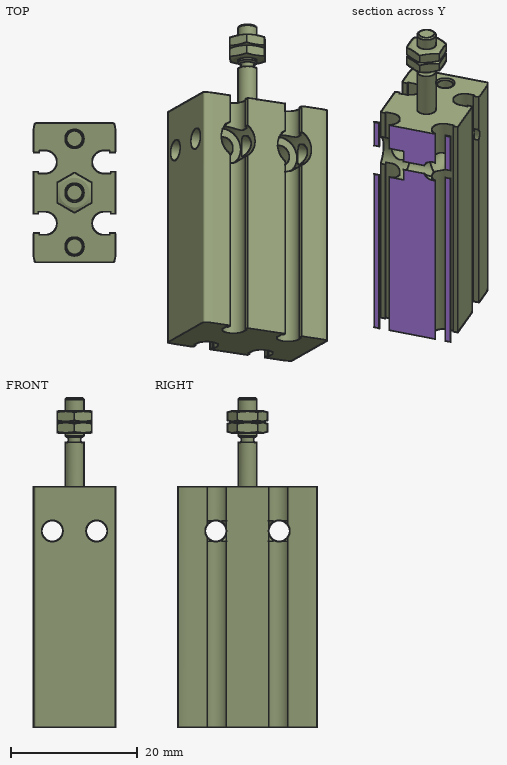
import cadquery as cq
import math

WIDTH_X = 13.0
LENGTH_Y = 22.0
HOUSING_HEIGHT = 38.0
HALF_X = WIDTH_X / 2
HALF_Y = LENGTH_Y / 2

CORNER_ARC_RADIUS = 4.0
CORNER_ARC_RISE = 1.4
CORNER_FILLET = 0.3

SLOT_CENTER_Y = 4.84
SLOT_RADIUS = 1.8
SLOT_DEPTH = 3.7
SLOT_OPENING = 3.0
OUTER_LIP_THICKNESS = 0.95
INNER_LIP_THICKNESS = 0.8
LIP_BEVEL_Y = 0.3
LIP_BEVEL_X = 0.08

MOUNT_DIAMETER = 3.3
MOUNT_Z = 31.0
MOUNT_SPACING_ON_X_FACE = 10.0
MOUNT_SPACING_ON_Y_FACE = 7.0
COUNTERBORE_DIAMETER = 6.0
COUNTERBORE_DEPTH = 5.0

TAP_DIAMETER = 2.5
TAP_MOUTH_DIAMETER = 3.0
TAP_DEPTH = 6.0
TAP_SPACING = 17.0

ROD_DIAMETER = 3.0
ROD_SEAT_DEPTH = 5.0
ROD_SHOULDER_Z = 45.0
NECK_DIAMETER = 2.0
NECK_LENGTH = 0.8
NECK_FILLET = 0.15
THREAD_ROOT_DIAMETER = 2.46
ROD_TOP_Z = 52.0
THREAD_CHAMFER = (ROD_DIAMETER - THREAD_ROOT_DIAMETER) / 2

HEX_SIDES = 6
NUT_ACROSS_FLATS = 5.5
NUT_HEIGHT = 1.8
NUT_FACE_DIAMETER = 4.65
NUT_CHAMFER_ANGLE = 17.0
NUT_COUNT = 2
NUT_STACK_Z = 46.4


def slot_cutter(side_x, side_y):
    """One sensor slot, from the open X face to its round bottom."""
    round_center_x = HALF_X - SLOT_DEPTH + SLOT_RADIUS
    outer_wall = SLOT_CENTER_Y + SLOT_RADIUS
    inner_wall = SLOT_CENTER_Y - SLOT_RADIUS
    outer_lip = SLOT_CENTER_Y + SLOT_OPENING / 2
    inner_lip = SLOT_CENTER_Y - SLOT_OPENING / 2
    outer_lip_x = HALF_X - OUTER_LIP_THICKNESS
    inner_lip_x = HALF_X - INNER_LIP_THICKNESS

    def at(x, y):
        return side_x * x, side_y * y

    return (
        cq.Workplane("XY")
        .moveTo(*at(HALF_X, inner_lip))
        .lineTo(*at(inner_lip_x, inner_lip))
        .lineTo(*at(inner_lip_x, inner_wall))
        .lineTo(*at(round_center_x, inner_wall))
        .threePointArc(at(HALF_X - SLOT_DEPTH, SLOT_CENTER_Y), at(round_center_x, outer_wall))
        .lineTo(*at(outer_lip_x, outer_wall))
        .lineTo(*at(outer_lip_x, outer_lip))
        .lineTo(*at(HALF_X - LIP_BEVEL_X, outer_lip))
        .lineTo(*at(HALF_X, outer_lip + LIP_BEVEL_Y))
        .close()
        .extrude(HOUSING_HEIGHT)
    )


def housing_block():
    """Extruded outline with arced and filleted corners, before any cuts."""
    arc_start_y = HALF_Y - CORNER_ARC_RISE
    arc_center_x = HALF_X - CORNER_ARC_RADIUS
    end_angle = math.asin(CORNER_ARC_RISE / CORNER_ARC_RADIUS)
    arc_end_x = arc_center_x + CORNER_ARC_RADIUS * math.cos(end_angle)
    arc_mid_x = arc_center_x + CORNER_ARC_RADIUS * math.cos(end_angle / 2)
    arc_mid_y = arc_start_y + CORNER_ARC_RADIUS * math.sin(end_angle / 2)
    return (
        cq.Workplane("XY")
        .moveTo(HALF_X, -arc_start_y)
        .lineTo(HALF_X, arc_start_y)
        .threePointArc((arc_mid_x, arc_mid_y), (arc_end_x, HALF_Y))
        .lineTo(-arc_end_x, HALF_Y)
        .threePointArc((-arc_mid_x, arc_mid_y), (-HALF_X, arc_start_y))
        .lineTo(-HALF_X, -arc_start_y)
        .threePointArc((-arc_mid_x, -arc_mid_y), (-arc_end_x, -HALF_Y))
        .lineTo(arc_end_x, -HALF_Y)
        .threePointArc((arc_mid_x, -arc_mid_y), (HALF_X, -arc_start_y))
        .close()
        .extrude(HOUSING_HEIGHT)
        .edges("|Z and (>Y or <Y)")
        .fillet(CORNER_FILLET)
    )


def x_mount_hole(y):
    """Through hole along X, counterbored from the -X face."""
    face = cq.Workplane("YZ", origin=(-HALF_X, y, MOUNT_Z))
    hole = face.circle(MOUNT_DIAMETER / 2).extrude(WIDTH_X)
    counterbore = face.circle(COUNTERBORE_DIAMETER / 2).extrude(COUNTERBORE_DEPTH)
    return hole.union(counterbore)


def y_mount_hole(x):
    """Plain through hole along Y."""
    return cq.Workplane("XZ", origin=(x, HALF_Y, MOUNT_Z)).circle(MOUNT_DIAMETER / 2).extrude(LENGTH_Y)


def tapped_hole(y):
    """Blind hole in the top face with a 45 degree mouth."""
    mouth_radius = TAP_MOUTH_DIAMETER / 2
    tap_radius = TAP_DIAMETER / 2
    mouth_depth = mouth_radius - tap_radius
    return (
        cq.Workplane("XZ", origin=(0, y, HOUSING_HEIGHT))
        .polyline([
            (0, 0),
            (mouth_radius, 0),
            (tap_radius, -mouth_depth),
            (tap_radius, -TAP_DEPTH),
            (0, -TAP_DEPTH),
        ])
        .close()
        .revolve(360, (0, 0), (0, 1))
    )


def make_housing():
    body = housing_block()
    for side in (-1, 1):
        body = body.cut(slot_cutter(side, 1))
        body = body.cut(slot_cutter(side, -1))
        body = body.cut(x_mount_hole(side * MOUNT_SPACING_ON_X_FACE / 2))
        body = body.cut(y_mount_hole(side * MOUNT_SPACING_ON_Y_FACE / 2))
        body = body.cut(tapped_hole(side * TAP_SPACING / 2))
    rod_seat = (
        cq.Workplane("XY", origin=(0, 0, HOUSING_HEIGHT - ROD_SEAT_DEPTH))
        .circle(ROD_DIAMETER / 2)
        .extrude(ROD_SEAT_DEPTH)
    )
    return body.cut(rod_seat)


def make_rod():
    """Turned rod: shank, filleted undercut neck and plain threaded end with 45 degree chamfers."""
    rod_radius = ROD_DIAMETER / 2
    neck_radius = NECK_DIAMETER / 2
    root_radius = THREAD_ROOT_DIAMETER / 2
    rod_bottom_z = HOUSING_HEIGHT - ROD_SEAT_DEPTH
    thread_start_z = ROD_SHOULDER_Z + NECK_LENGTH
    shank_and_thread = (
        cq.Workplane("XZ")
        .polyline([
            (0, rod_bottom_z),
            (rod_radius, rod_bottom_z),
            (rod_radius, ROD_SHOULDER_Z),
            (neck_radius, ROD_SHOULDER_Z),
            (neck_radius, thread_start_z),
            (root_radius, thread_start_z),
            (rod_radius, thread_start_z + THREAD_CHAMFER),
            (rod_radius, ROD_TOP_Z - THREAD_CHAMFER),
            (root_radius, ROD_TOP_Z),
            (0, ROD_TOP_Z),
        ])
        .close()
        .revolve(360, (0, 0), (0, 1))
    )
    neck_ends = cq.selectors.BoxSelector(
        (-ROD_DIAMETER, -ROD_DIAMETER, ROD_SHOULDER_Z - NECK_FILLET),
        (ROD_DIAMETER, ROD_DIAMETER, thread_start_z + NECK_FILLET),
    )
    smallest_circles = cq.selectors.RadiusNthSelector(0)
    return shank_and_thread.edges(neck_ends).edges(smallest_circles).fillet(NECK_FILLET)


def make_nut(bottom_z):
    """Hexagon nut with both faces chamfered, bored to fit the rod."""
    across_corners = NUT_ACROSS_FLATS / math.cos(math.pi / HEX_SIDES)
    corner_radius = across_corners / 2
    face_radius = NUT_FACE_DIAMETER / 2
    corner_drop = (corner_radius - face_radius) * math.tan(math.radians(NUT_CHAMFER_ANGLE))
    hexagon = (
        cq.Workplane("XY")
        .transformed(rotate=(0, 0, 90))
        .polygon(HEX_SIDES, across_corners)
        .circle(ROD_DIAMETER / 2)
        .extrude(NUT_HEIGHT)
    )
    chamfer_envelope = (
        cq.Workplane("XZ")
        .polyline([
            (0, 0),
            (face_radius, 0),
            (corner_radius, corner_drop),
            (corner_radius, NUT_HEIGHT - corner_drop),
            (face_radius, NUT_HEIGHT),
            (0, NUT_HEIGHT),
        ])
        .close()
        .revolve(360, (0, 0), (0, 1))
    )
    return hexagon.intersect(chamfer_envelope).translate((0, 0, bottom_z))


housing = make_housing()
rod = make_rod()
nuts = [make_nut(NUT_STACK_Z + index * NUT_HEIGHT) for index in range(NUT_COUNT)]

result = cq.Compound.makeCompound([housing.val(), rod.val(), *[nut.val() for nut in nuts]])